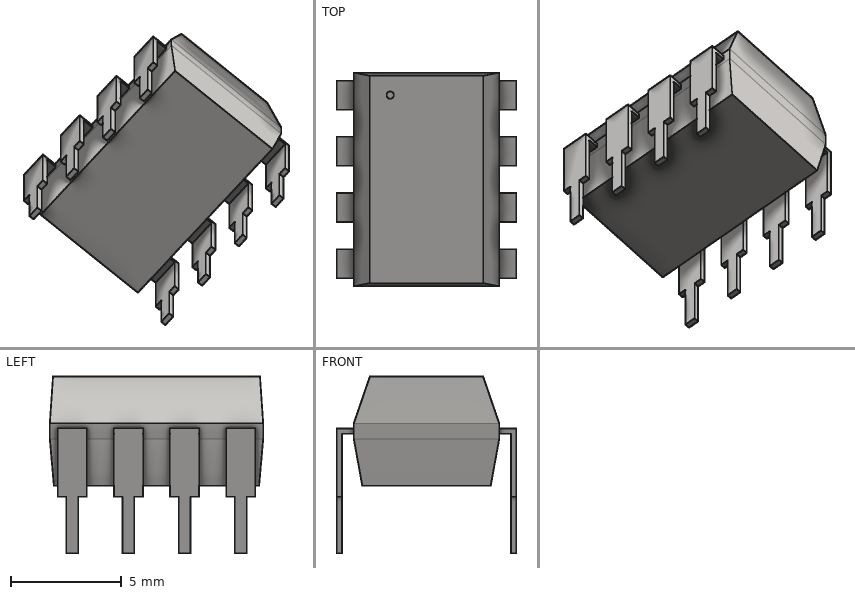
import cadquery as cq


housing_width = 6.58
housing_length = 9.65
band_height = 0.69
taper_height = 2.12
cap_top_width = 5.12
cap_top_length = 9.36
base_bottom_width = 5.81
base_bottom_length = 9.28

band_top = band_height / 2
housing_top = band_top + taper_height

leads_per_side = 4
lead_pitch = 2.54
lead_thickness = 0.25
lead_span = 8.13
shoulder_width = 1.32
shoulder_height = 3.1
shank_width = 0.55
overall_height = 8.0

lead_top = lead_thickness / 2
lead_bottom = housing_top - overall_height
shoulder_bottom = lead_top - shoulder_height
lead_inner_x = housing_width / 2
lead_outer_x = lead_span / 2

marker_diameter = 0.33
marker_depth = 0.1
marker_x = -1.64
marker_y = 3.81


def make_taper(end_width, end_length, direction):
    """Frustum from the band edge to its end face, up (direction 1) or down (-1)."""
    return (
        cq.Workplane("XY")
        .workplane(offset=direction * band_top)
        .rect(housing_width, housing_length)
        .workplane(offset=direction * taper_height)
        .rect(end_width, end_length)
        .loft(ruled=True)
    )


def make_marker():
    return (
        cq.Workplane("XY")
        .workplane(offset=housing_top - marker_depth)
        .center(marker_x, marker_y)
        .circle(marker_diameter / 2)
        .extrude(marker_depth)
    )


def make_housing():
    """Band, cap and base as one solid, with the recess that holds the marker."""
    band = cq.Workplane("XY").box(housing_width, housing_length, band_height)
    cap = make_taper(cap_top_width, cap_top_length, 1)
    base = make_taper(base_bottom_width, base_bottom_length, -1)
    return band.union(cap).union(base).cut(make_marker())


def make_lead(side, y):
    """Lead centred at y, on the +X side (side 1) or the -X side (side -1)."""
    leg_inner_x = lead_outer_x - lead_thickness
    shoulder = (
        cq.Workplane("XZ", origin=(0, y, 0))
        .moveTo(side * lead_inner_x, lead_top)
        .lineTo(side * lead_outer_x, lead_top)
        .lineTo(side * lead_outer_x, shoulder_bottom)
        .lineTo(side * leg_inner_x, shoulder_bottom)
        .lineTo(side * leg_inner_x, lead_top - lead_thickness)
        .lineTo(side * lead_inner_x, lead_top - lead_thickness)
        .close()
        .extrude(shoulder_width / 2, both=True)
    )
    leg_centre_x = side * (lead_outer_x - lead_thickness / 2)
    shank = (
        cq.Workplane("XY", origin=(leg_centre_x, y, lead_bottom))
        .rect(lead_thickness, shank_width)
        .extrude(shoulder_bottom - lead_bottom)
    )
    return shoulder.union(shank)


housing = make_housing()
marker = make_marker()

leads = []
for side in (-1, 1):
    for index in range(leads_per_side):
        lead_y = (index - (leads_per_side - 1) / 2) * lead_pitch
        leads.append(make_lead(side, lead_y).val())

result = cq.Compound.makeCompound([housing.val(), marker.val(), *leads])